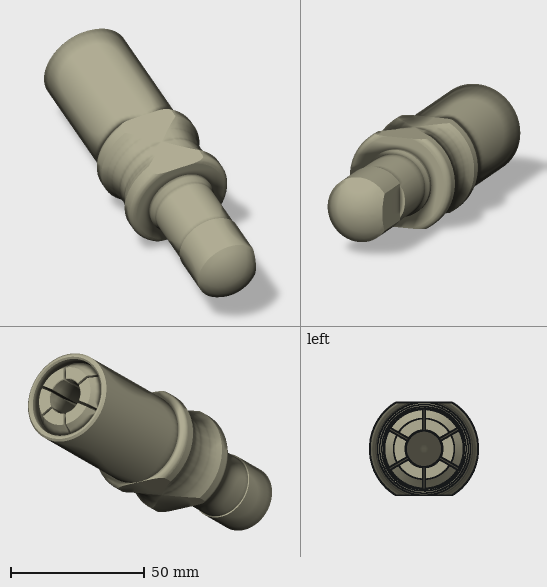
import cadquery as cq
import math

total_length = 132.5

sleeve_start = 0.9
sleeve_radius = 34.9 / 2
sleeve_chamfer = 0.8
bore_radius = 30.4 / 2
bore_chamfer = 0.7
bore_depth = 19.9

collet_radius = 14.8
collet_tip_radius = 11.4
collet_cone_length = 5.3
collet_hole_radius = 6.8
collet_hole_chamfer = 0.3
collet_hole_depth = 26.5
slot_count = 6
slot_width = 1.0

collar_start = 52.4
collar_end = 84.2
collar_radius = 20.4
collar_fillet = 2.3
collar_flat_height = 35.0
collar_mid = (collar_start + collar_end) / 2
waist_half_width = 10.2
waist_radius = collar_flat_height / 2

shoulder_radius = 26.1 / 2
shoulder_end = 85.9
taper_end = 88.0
neck_radius = 24.1 / 2
neck_end = 110.0

plug_radius = 12.6
dome_start = 126.2
dome_height = total_length - dome_start
dome_radius = (plug_radius**2 + dome_height**2) / (2 * dome_height)
plug_flat_y = 10.3
flat_runout = 0.8


def revolve_about_x(profile):
    """Revolve a closed profile in the XY plane (Y is the radius) about X."""
    return profile.close().revolve(360, (0, 0, 0), (1, 0, 0))


def rod(start, end, radius):
    """Solid cylinder along X."""
    return cq.Workplane("YZ").workplane(offset=start).circle(radius).extrude(end - start)


def make_sleeve():
    sleeve = rod(sleeve_start, collar_mid, sleeve_radius).faces("<X").chamfer(sleeve_chamfer)
    bore = rod(sleeve_start, bore_depth, bore_radius)
    sleeve = sleeve.cut(bore)
    mouth = revolve_about_x(
        cq.Workplane("XY")
        .moveTo(sleeve_start, 0)
        .lineTo(sleeve_start, bore_radius + bore_chamfer)
        .lineTo(sleeve_start + bore_chamfer, bore_radius)
        .lineTo(sleeve_start + bore_chamfer, 0)
    )
    return sleeve.cut(mouth)


def make_collet():
    tip_step = collet_radius - collet_tip_radius
    collet = rod(0, bore_depth, collet_radius).faces("<X").chamfer(collet_cone_length, tip_step)
    slot_tool = (
        cq.Workplane("XY")
        .box(bore_depth, slot_width, collet_radius, centered=(False, True, False))
    )
    for index in range(slot_count):
        collet = collet.cut(slot_tool.rotate((0, 0, 0), (1, 0, 0), index * 360 / slot_count))
    return collet


def make_collet_hole():
    return revolve_about_x(
        cq.Workplane("XY")
        .lineTo(0, collet_hole_radius + collet_hole_chamfer)
        .lineTo(collet_hole_chamfer, collet_hole_radius)
        .lineTo(collet_hole_depth, collet_hole_radius)
        .lineTo(collet_hole_depth, 0)
    )


def make_collar():
    blank = rod(collar_start, collar_end, collar_radius).edges().fillet(collar_fillet)
    waist = revolve_about_x(
        cq.Workplane("XY")
        .moveTo(collar_mid - waist_half_width, collar_radius)
        .threePointArc((collar_mid, waist_radius), (collar_mid + waist_half_width, collar_radius))
    )
    flats = cq.Workplane("XY").box(2 * total_length, 2 * collar_radius, collar_flat_height)
    return blank.cut(waist).intersect(flats)


def make_neck():
    return revolve_about_x(
        cq.Workplane("XY")
        .moveTo(collar_mid, 0)
        .lineTo(collar_mid, shoulder_radius)
        .lineTo(shoulder_end, shoulder_radius)
        .lineTo(taper_end, neck_radius)
        .lineTo(neck_end, neck_radius)
        .lineTo(neck_end, 0)
    )


def make_plug():
    dome_mid_angle = math.asin(plug_radius / dome_radius) / 2
    dome_center = total_length - dome_radius
    dome_mid = (
        dome_center + dome_radius * math.cos(dome_mid_angle),
        dome_radius * math.sin(dome_mid_angle),
    )
    return revolve_about_x(
        cq.Workplane("XY")
        .moveTo(neck_end, 0)
        .lineTo(neck_end, plug_radius)
        .lineTo(dome_start, plug_radius)
        .threePointArc(dome_mid, (total_length, 0))
    )


def make_plug_flat():
    return (
        cq.Workplane("XY")
        .moveTo(neck_end, plug_flat_y)
        .lineTo(total_length, plug_flat_y)
        .lineTo(total_length, 2 * plug_radius)
        .lineTo(neck_end - flat_runout, 2 * plug_radius)
        .lineTo(neck_end - flat_runout, plug_flat_y + flat_runout)
        .close()
        .extrude(plug_radius, both=True)
    )


result = (
    make_sleeve()
    .union(make_collet())
    .cut(make_collet_hole())
    .union(make_collar())
    .union(make_neck())
    .union(make_plug())
    .cut(make_plug_flat())
)